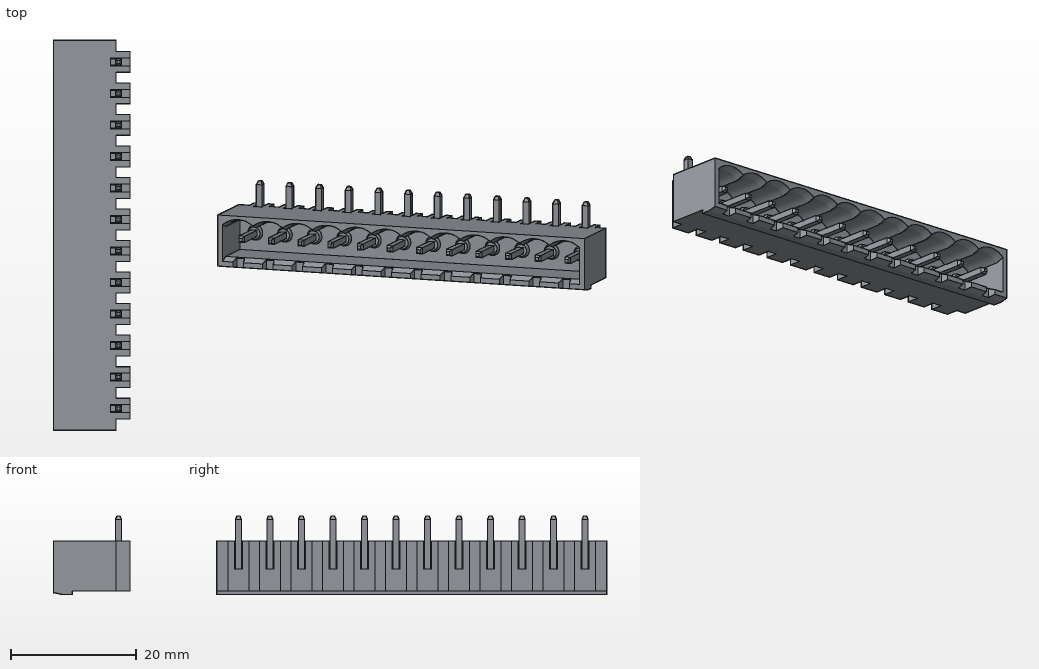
import cadquery as cq


length = 62.0
body_depth = 10.0
body_height = 8.0
total_depth = 12.2
total_height = 12.5

pin_count = 12
end_margin = 3.5
pin_pitch = (length - 2 * end_margin) / (pin_count - 1)
pin_height = body_height / 2
row_start = -(pin_count - 1) * pin_pitch / 2
pin_rows = [row_start + i * pin_pitch for i in range(pin_count)]

pin_width = 1.0
pin_tip_width = 0.5
pin_tip_length = 0.55
pin_front = 1.2
pin_leg_x = 10.35

lip_drop = 0.55
lip_front_drop = 0.25
lip_bevel_end = 1.5
lip_back = 3.05

cavity_depth = 8.05
end_wall = 0.85
floor_thickness = 1.1
floor_bevel_drop = 0.55
mouth_bevel_depth = 1.4
arch_center_drop = 0.4
arch_radius = 3.5
arch_mouth_radius = 3.85
arch_center_height = pin_height - arch_center_drop

notch_front_width = 1.8
notch_back_width = 1.3
notch_depth = 1.25
notch_top_gap = 0.1
notch_top = floor_thickness - notch_top_gap

collar_radius = 1.25
collar_end_radius = 1.0
collar_height = 0.6

rib_width = 3.35
slot_width = 1.3
slot_front = 9.1

lip_bottom = -lip_drop
top_of_legs = lip_bottom + total_height
cavity_width = length - 2 * end_wall


def box_between(x0, x1, width, z0, z1):
    """Box centred on Y=0 between the given X and Z limits."""
    block = cq.Workplane("XY").box(x1 - x0, width, z1 - z0, centered=(False, True, False))
    return block.translate((x0, 0, z0))


def extrude_along_y(points, width):
    """Extrude an XZ outline symmetrically about Y=0."""
    return cq.Workplane("XZ").polyline(points).close().extrude(width / 2, both=True)


def at_each_pin(shape):
    """Copies of a shape made at Y=0, one on every pin row, as a single compound."""
    copies = [shape.translate((0, y, 0)).val() for y in pin_rows]
    return cq.Workplane(cq.Compound.makeCompound(copies))


def frustum_x(x0, radius0, x1, radius1, z):
    """Round frustum along X, centred on Y=0 at the given height."""
    return (
        cq.Workplane("YZ", origin=(x0, 0, z))
        .circle(radius0)
        .workplane(offset=x1 - x0)
        .circle(radius1)
        .loft(combine=True)
    )


def make_housing():
    """Solid body with the lip below its mouth and the ribs behind it."""
    profile = [
        (0, body_height),
        (body_depth, body_height),
        (body_depth, 0),
        (lip_back, 0),
        (lip_back, lip_bottom),
        (lip_bevel_end, lip_bottom),
        (0, -lip_front_drop),
    ]
    housing = extrude_along_y(profile, length)
    rib = box_between(body_depth, total_depth, rib_width, 0, body_height)
    return housing.union(at_each_pin(rib))


def make_cavity():
    """Straight-sided lower trough plus one arched channel, flared at the mouth, over each pin."""
    trough = extrude_along_y(
        [
            (0, pin_height),
            (cavity_depth, pin_height),
            (cavity_depth, floor_thickness),
            (mouth_bevel_depth, floor_thickness),
            (0, floor_thickness - floor_bevel_drop),
        ],
        cavity_width,
    )
    limits = box_between(0, cavity_depth, cavity_width, floor_thickness, body_height)
    straight = cq.Workplane("YZ", origin=(0, 0, arch_center_height)).circle(arch_radius).extrude(cavity_depth)
    flare = frustum_x(0, arch_mouth_radius, mouth_bevel_depth, arch_radius, arch_center_height)
    channel = straight.union(flare)
    channels = cq.Workplane("XY")
    for y in pin_rows:
        channels = channels.union(channel.translate((0, y, 0)))
    return trough.union(channels.intersect(limits))


def make_notch():
    """Notch through the lip, narrowing towards its back face."""
    front_half = notch_front_width / 2
    back_half = notch_back_width / 2
    outline = [
        (0, -front_half),
        (0, front_half),
        (notch_depth, back_half),
        (notch_depth, -back_half),
    ]
    base = cq.Workplane("XY", origin=(0, 0, lip_bottom)).polyline(outline).close()
    return base.extrude(notch_top - lip_bottom)


def make_collar():
    """Tapered collar standing on the back wall of the cavity."""
    return frustum_x(cavity_depth - collar_height, collar_end_radius, cavity_depth, collar_radius, pin_height)


def make_slot():
    """Slot for the pin, open at the top and at the rear of the rib."""
    slot_floor = pin_height - pin_width / 2
    return box_between(slot_front, total_depth, slot_width, slot_floor, body_height)


def make_pin():
    """L-shaped square pin with a tapered tip at each end."""
    half = pin_width / 2
    contact_start = pin_front + pin_tip_length
    leg_end = top_of_legs - pin_tip_length
    contact = box_between(contact_start, pin_leg_x + half, pin_width, pin_height - half, pin_height + half)
    leg = box_between(pin_leg_x - half, pin_leg_x + half, pin_width, pin_height - half, leg_end)
    contact_tip = (
        cq.Workplane("YZ", origin=(pin_front, 0, pin_height))
        .rect(pin_tip_width, pin_tip_width)
        .workplane(offset=pin_tip_length)
        .rect(pin_width, pin_width)
        .loft(combine=True)
    )
    leg_tip = (
        cq.Workplane("XY", origin=(pin_leg_x, 0, leg_end))
        .rect(pin_width, pin_width)
        .workplane(offset=pin_tip_length)
        .rect(pin_tip_width, pin_tip_width)
        .loft(combine=True)
    )
    return contact.union(leg).union(contact_tip).union(leg_tip)


result = (
    make_housing()
    .cut(make_cavity())
    .cut(at_each_pin(make_notch()))
    .cut(at_each_pin(make_slot()))
    .union(at_each_pin(make_collar()))
    .union(at_each_pin(make_pin()))
)